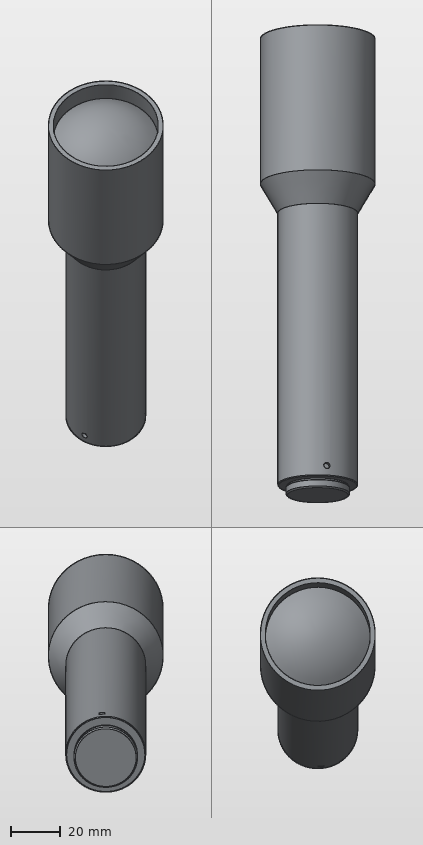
import cadquery as cq

total_height = 188.7
head_bottom = 128.7
shaft_top = 116.6
ring_bottom = 4.0
spigot_top = 3.2

head_diameter = 46.0
bore_diameter = 42.0
shaft_diameter = 32.0
spigot_diameter = 25.5
neck_diameter = 24.5

ring_chamfer = 0.4
spigot_chamfer = 0.5

lens_apex_depth = 0.4
lens_sag = 8.3

screw_diameter = 2.5
screw_depth = 1.9
screw_height = 8.3
screw_count = 3
first_screw_angle = -90.0


def make_body():
    """Revolve the outer profile together with the domed floor of the bore."""
    head_radius = head_diameter / 2
    bore_radius = bore_diameter / 2
    shaft_radius = shaft_diameter / 2
    spigot_radius = spigot_diameter / 2
    neck_radius = neck_diameter / 2

    lens_apex = total_height - lens_apex_depth
    lens_rim = lens_apex - lens_sag
    lens_radius = (bore_radius**2 + lens_sag**2) / (2 * lens_sag)
    mid_radius = bore_radius / 2
    mid_height = lens_apex - lens_radius + (lens_radius**2 - mid_radius**2) ** 0.5

    profile = (
        cq.Workplane("XZ")
        .moveTo(0, 0)
        .lineTo(spigot_radius - spigot_chamfer, 0)
        .lineTo(spigot_radius, spigot_chamfer)
        .lineTo(spigot_radius, spigot_top)
        .lineTo(neck_radius, spigot_top)
        .lineTo(neck_radius, ring_bottom)
        .lineTo(shaft_radius - ring_chamfer, ring_bottom)
        .lineTo(shaft_radius, ring_bottom + ring_chamfer)
        .lineTo(shaft_radius, shaft_top)
        .lineTo(head_radius, head_bottom)
        .lineTo(head_radius, total_height)
        .lineTo(bore_radius, total_height)
        .lineTo(bore_radius, lens_rim)
        .threePointArc((mid_radius, mid_height), (0, lens_apex))
        .close()
    )
    return profile.revolve(360, (0, 0, 0), (0, 1, 0))


def make_screw_hole(angle):
    """Blind radial hole cutter at the given angle around Z."""
    floor_radius = shaft_diameter / 2 - screw_depth
    return (
        cq.Workplane("YZ", origin=(floor_radius, 0, screw_height))
        .circle(screw_diameter / 2)
        .extrude(2 * screw_depth)
        .rotate((0, 0, 0), (0, 0, 1), angle)
    )


result = make_body()
for index in range(screw_count):
    result = result.cut(make_screw_hole(first_screw_angle + index * 360 / screw_count))